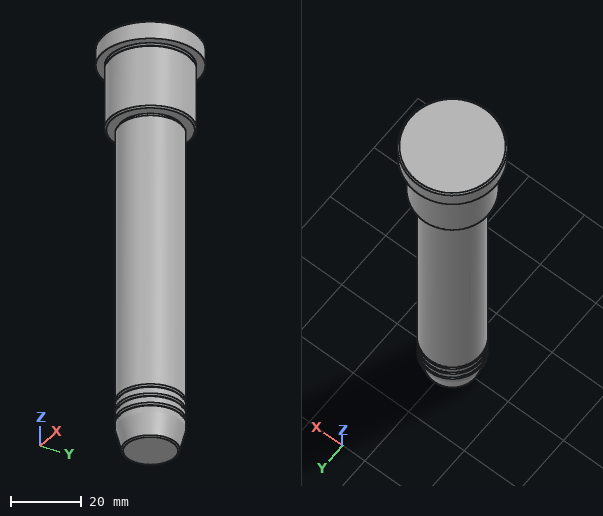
import cadquery as cq
import math

total_length = 132.0

head_radius = 31.0 / 2
head_thickness = 6.0
head_edge = 0.5

shoulder_radius = 26.0 / 2
shoulder_bottom = 105.1
shoulder_edge = 0.5

shaft_radius = 20.0 / 2
neck_depth = 0.7
neck_width = 1.0

tip_length = 7.0
tip_angle = 15.0
tip_edge = 0.4

groove_depth = 0.5
groove_width = 1.0
groove_count = 3
groove_pitch = 3.0
lowest_groove_bottom = 9.0


def cylinder(radius, bottom, top):
    """Cylinder on the pin axis between two heights."""
    return cq.Workplane("XY").workplane(offset=bottom).circle(radius).extrude(top - bottom)


def make_head():
    """Flanged head with its top rim chamfered."""
    disc = cylinder(head_radius, total_length - head_thickness, total_length)
    return disc.faces(">Z").chamfer(head_edge)


def make_shoulder():
    """Locating shoulder with its lower rim chamfered."""
    shoulder = cylinder(shoulder_radius, shoulder_bottom, total_length - head_thickness)
    return shoulder.faces("<Z").chamfer(shoulder_edge)


def make_shaft():
    """Guide shaft with a tapered tip and a narrower neck below the shoulder."""
    neck_bottom = shoulder_bottom - neck_width
    neck = cylinder(shaft_radius - neck_depth, neck_bottom, shoulder_bottom)
    tip_radius = shaft_radius - tip_length * math.tan(math.radians(tip_angle))
    shaft = (
        cq.Workplane("XZ")
        .polyline([(0, 0), (tip_radius, 0), (shaft_radius, tip_length),
                   (shaft_radius, neck_bottom), (0, neck_bottom)])
        .close()
        .revolve(360, (0, 0), (0, 1))
    )
    shaft = shaft.faces("<Z").chamfer(tip_edge)
    return shaft.union(neck)


def make_groove(radius, bottom):
    """Ring that cuts a V groove into a cylinder of the given radius."""
    return (
        cq.Workplane("XZ")
        .polyline([(radius, bottom), (radius, bottom + groove_width),
                   (radius - groove_depth, bottom + groove_width / 2)])
        .close()
        .revolve(360, (0, 0), (0, 1))
    )


result = make_shaft().union(make_shoulder()).union(make_head())

result = result.cut(make_groove(shoulder_radius, total_length - head_thickness - groove_width))

for index in range(groove_count):
    result = result.cut(make_groove(shaft_radius, lowest_groove_bottom + index * groove_pitch))